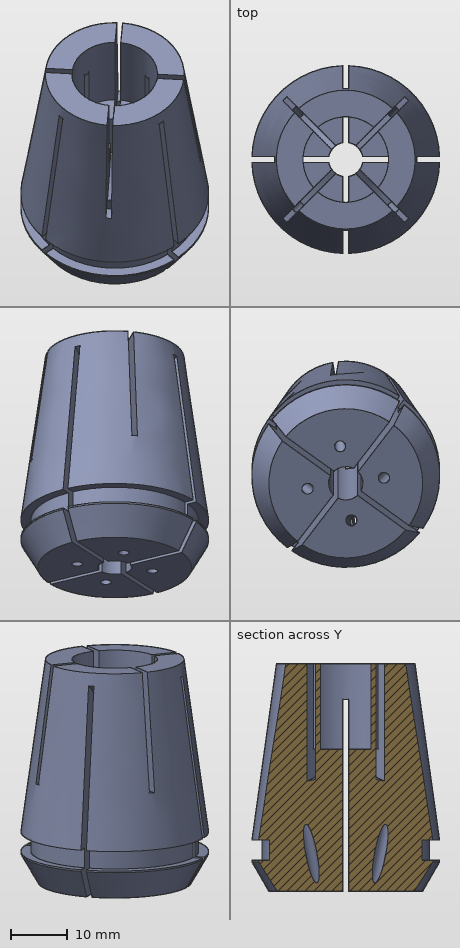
import cadquery as cq
import math


length = 40.0
max_radius = 16.5
tip_radius = 12.18
taper_start = 9.0
groove_radius = 14.75
groove_bottom = 5.5
rim_land = 0.3
nose_angle = 30.0

bore_radius = 3.0
relief_radius = 7.5
gripping_length = 25.0

slot_width = 1.0
slots_per_end = 4
cutter_radius = 15.0
lower_cutter_distance = 19.2
lower_slot_apex = 39.3
upper_cutter_distance = 13.2
upper_slot_apex = 18.8

coolant_diameter = 1.9
coolant_distance = 11.8
coolant_tilt = 15.0

margin = 5.0


def make_body():
    """Revolve the outside and the stepped bore in one profile."""
    nose_height = groove_bottom - rim_land
    nose_radius = max_radius - nose_height * math.tan(math.radians(nose_angle))
    profile = [
        (bore_radius, 0),
        (nose_radius, 0),
        (max_radius, nose_height),
        (max_radius, groove_bottom),
        (groove_radius, groove_bottom),
        (groove_radius, taper_start),
        (max_radius, taper_start),
        (tip_radius, length),
        (relief_radius, length),
        (relief_radius, gripping_length),
        (bore_radius, gripping_length),
    ]
    return cq.Workplane("XZ").polyline(profile).close().revolve(360, (0, 0), (0, 1))


def make_slot(cutter_distance, apex, inner_radius, direction, open_end):
    """Slot along +X, open at one end and closed by the cutter's arc.

    The arc runs from inner_radius to beyond the outside; direction is the way
    the cutter travels along Z, +1 for up and -1 for down.
    """
    centre_height = apex - direction * cutter_radius
    outer_radius = max_radius + margin

    def arc_point(radius):
        offset = radius - cutter_distance
        return radius, centre_height + direction * math.sqrt(cutter_radius**2 - offset**2)

    mid_radius = (inner_radius + outer_radius) / 2
    return (
        cq.Workplane("XZ")
        .moveTo(0, open_end)
        .lineTo(0, arc_point(inner_radius)[1])
        .lineTo(*arc_point(inner_radius))
        .threePointArc(arc_point(mid_radius), arc_point(outer_radius))
        .lineTo(outer_radius, open_end)
        .close()
        .extrude(slot_width / 2, both=True)
    )


def make_coolant_hole():
    """Inclined cylinder above the +X axis, starting inside the upper slot."""
    tilt = math.radians(coolant_tilt)
    axis = cq.Vector(-math.sin(tilt), 0, -math.cos(tilt))
    floor_point = cq.Vector(coolant_distance, 0, upper_slot_apex)
    overrun = coolant_diameter / 2 * math.tan(tilt)
    depth = upper_slot_apex / math.cos(tilt) + margin
    start = floor_point - axis * overrun
    return cq.Workplane(cq.Solid.makeCylinder(coolant_diameter / 2, depth, start, axis))


def cut_around(body, tool, first_angle):
    """Cut the +X tool at equal steps around the collet axis."""
    for index in range(slots_per_end):
        angle = first_angle + index * 360 / slots_per_end
        body = body.cut(tool.rotate((0, 0, 0), (0, 0, 1), angle))
    return body


lower_slot = make_slot(lower_cutter_distance, lower_slot_apex, relief_radius, 1, -margin)
upper_slot = make_slot(upper_cutter_distance, upper_slot_apex, bore_radius, -1, length + margin)
half_pitch = 180 / slots_per_end

result = make_body()
result = cut_around(result, lower_slot, 0)
result = cut_around(result, upper_slot, half_pitch)
result = cut_around(result, make_coolant_hole(), half_pitch)